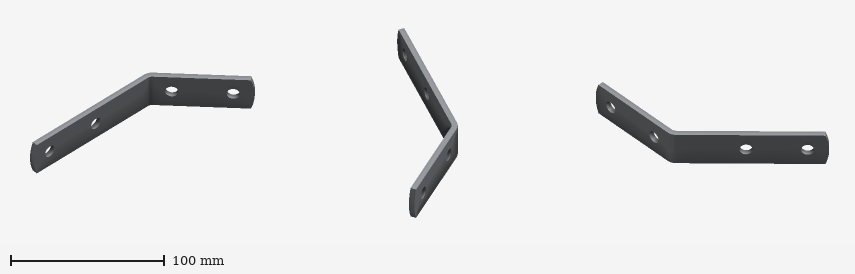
import cadquery as cq
import math

length_y = 152.3
length_x = 52.2
width = 25.0
thickness = 4.0
inner_radius = 4.0
bend_angle = 45.0
end_radius = 32.5
hole_diameter = 8.5
hole_from_end = 14.0
hole_pitch = 40.0

outer_radius = inner_radius + thickness
sine = math.sin(math.radians(bend_angle))
cosine = math.cos(math.radians(bend_angle))
angled_length = (length_x - outer_radius * (1 - cosine) - thickness * cosine) / sine
straight_length = length_y - outer_radius * sine - angled_length * cosine
end_rise = end_radius - math.sqrt(end_radius**2 - (width / 2) ** 2)


def make_leg(length):
    """Flat leg from y = 0 to a rounded end at y = length, outer face on x = 0."""
    shoulder = length - end_rise
    blank = (
        cq.Workplane("YZ")
        .moveTo(0, -width / 2)
        .lineTo(shoulder, -width / 2)
        .threePointArc((length, 0), (shoulder, width / 2))
        .lineTo(0, width / 2)
        .close()
        .extrude(thickness)
    )
    first_hole = length - hole_from_end
    holes = (
        cq.Workplane("YZ")
        .pushPoints([(first_hole, 0), (first_hole - hole_pitch, 0)])
        .circle(hole_diameter / 2)
        .extrude(thickness)
    )
    return blank.cut(holes)


def make_bend():
    """Curved section starting at y = 0 and turning toward +X."""
    return (
        cq.Workplane("XZ")
        .center(thickness / 2, 0)
        .rect(thickness, width)
        .revolve(
            bend_angle,
            (outer_radius - thickness / 2, 1.5, 0),
            (outer_radius - thickness / 2, 0, 0),
        )
    )


straight_leg = make_leg(straight_length).mirror("XZ")
bend_axis_start = (outer_radius, 0, 0)
bend_axis_end = (outer_radius, 0, 1)
angled_leg = make_leg(angled_length).rotate(bend_axis_start, bend_axis_end, -bend_angle)

result = straight_leg.union(make_bend()).union(angled_leg)